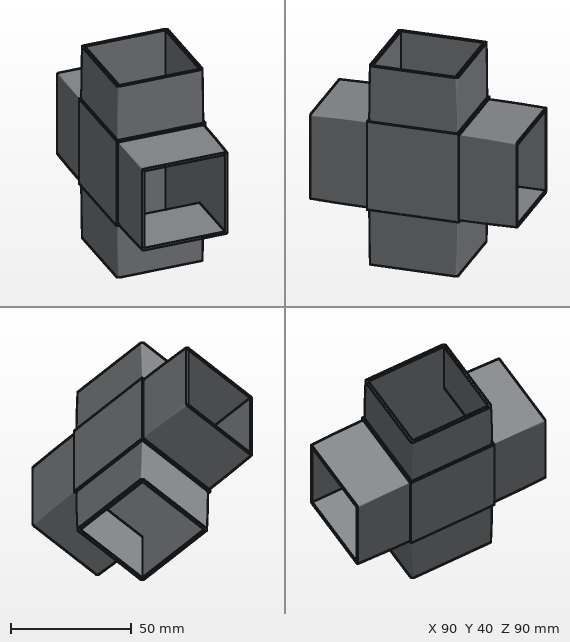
import cadquery as cq

span = 90.0
hub_size = 40.0
arm_size = 38.5
bore_size = 36.1
base_corner_radius = 0.045
middle_corner_radius = 0.3
tip_corner_radius = 1.1


def rounded_square(size, radius):
    return cq.Sketch().rect(size, size).vertices().fillet(radius)


def arm_section(start_height, start_radius, end_height, end_radius):
    """Length of upward arm whose corner radius changes evenly along it."""
    start = rounded_square(arm_size, start_radius)
    end = rounded_square(arm_size, end_radius)
    rise = cq.Location(cq.Vector(0, 0, end_height - start_height))
    return (
        cq.Workplane("XY")
        .workplane(offset=start_height)
        .placeSketch(start, end.moved(rise))
        .loft(ruled=True)
    )


def make_arm():
    """Upward arm with almost sharp corners at the hub and rounded ones at the open end."""
    base_height = hub_size / 2
    tip_height = span / 2
    middle_height = (base_height + tip_height) / 2
    lower = arm_section(base_height, base_corner_radius, middle_height, middle_corner_radius)
    upper = arm_section(middle_height, middle_corner_radius, tip_height, tip_corner_radius)
    return lower.union(upper)


body = cq.Workplane("XY").box(hub_size, hub_size, hub_size)
arm = make_arm()
for angle in (0, 90, 180, 270):
    body = body.union(arm.rotate((0, 0, 0), (0, 1, 0), angle))

vertical_bore = cq.Workplane("XY").box(bore_size, bore_size, span)
horizontal_bore = cq.Workplane("XY").box(span, bore_size, bore_size)

result = body.cut(vertical_bore).cut(horizontal_bore)